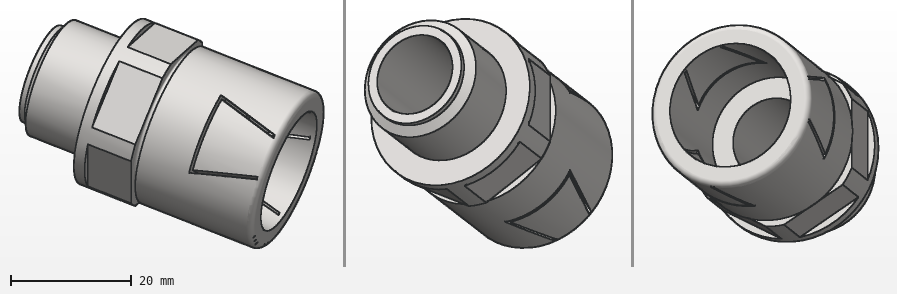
import cadquery as cq

nose_end = 1.0
taper_end = 2.0
collar_start = 13.0
flats_start = 15.0
collar_end = 23.0
sleeve_start = 24.0
total_length = 45.5

nose_diameter = 17.3
spigot_diameter = 20.7
collar_diameter = 29.5
neck_diameter = 25.5
sleeve_diameter = 28.0
bore_diameter = 14.0
socket_diameter = 21.2

hex_across_flats = 27.0
hex_side_count = 6
neck_fillet = 0.25
rim_fillet = 1.0

tongue_count = 3
slot_start = 33.0
slot_end = total_length - rim_fillet
slot_width = 0.5
slot_root_half_width = 6.95
slot_tip_half_width = 3.95


def make_body():
    """Revolve the stepped outside, with rounded neck corners and sleeve rim."""
    nose_radius = nose_diameter / 2
    spigot_radius = spigot_diameter / 2
    collar_radius = collar_diameter / 2
    neck_radius = neck_diameter / 2
    sleeve_radius = sleeve_diameter / 2
    profile = (
        cq.Workplane("XY")
        .lineTo(0, nose_radius)
        .lineTo(nose_end, nose_radius)
        .lineTo(taper_end, spigot_radius)
        .lineTo(collar_start, spigot_radius)
        .lineTo(collar_start, collar_radius)
        .lineTo(collar_end, collar_radius)
        .lineTo(collar_end, neck_radius + neck_fillet)
        .radiusArc((collar_end + neck_fillet, neck_radius), -neck_fillet)
        .lineTo(sleeve_start - neck_fillet, neck_radius)
        .radiusArc((sleeve_start, neck_radius + neck_fillet), -neck_fillet)
        .lineTo(sleeve_start, sleeve_radius)
        .lineTo(total_length - rim_fillet, sleeve_radius)
        .radiusArc((total_length, sleeve_radius - rim_fillet), rim_fillet)
        .lineTo(total_length, 0)
        .close()
    )
    return profile.revolve(360, (0, 0, 0), (1, 0, 0))


def cylinder_along_x(start, end, diameter):
    return cq.Workplane("YZ", origin=(start, 0, 0)).circle(diameter / 2).extrude(end - start)


def make_hex_cutter():
    """Ring outside the hexagon, with two flats facing -Y and +Y."""
    section = cq.Plane(origin=(flats_start, 0, 0), xDir=(0, 1, 0), normal=(1, 0, 0))
    hexagon = (
        cq.Workplane(section)
        .polygon(hex_side_count, hex_across_flats, circumscribed=True)
        .extrude(collar_end - flats_start)
    )
    return cylinder_along_x(flats_start, collar_end, 2 * collar_diameter).cut(hexagon)


def make_trapezoid(start, root_half_width, tip_half_width):
    """Tapered prism reaching from the axis through the +Y wall of the sleeve."""
    return (
        cq.Workplane("XZ")
        .polyline([
            (start, -root_half_width),
            (slot_end, -tip_half_width),
            (slot_end, tip_half_width),
            (start, root_half_width),
        ])
        .close()
        .extrude(-sleeve_diameter)
    )


def make_tongue_slot():
    """Slot along the root and both sides of one tongue; the tip stays attached."""
    taper = (slot_root_half_width - slot_tip_half_width) / (slot_end - slot_start)
    tongue_root_half_width = slot_root_half_width - slot_width * (1 + taper)
    opening = make_trapezoid(slot_start, slot_root_half_width, slot_tip_half_width)
    tongue = make_trapezoid(
        slot_start + slot_width, tongue_root_half_width, slot_tip_half_width - slot_width
    )
    return opening.cut(tongue)


result = make_body().cut(make_hex_cutter())
result = result.cut(cylinder_along_x(0, total_length, bore_diameter))
result = result.cut(cylinder_along_x(sleeve_start, total_length, socket_diameter))

tongue_slot = make_tongue_slot()
for index in range(tongue_count):
    angle = index * 360 / tongue_count
    result = result.cut(tongue_slot.rotate((0, 0, 0), (1, 0, 0), angle))